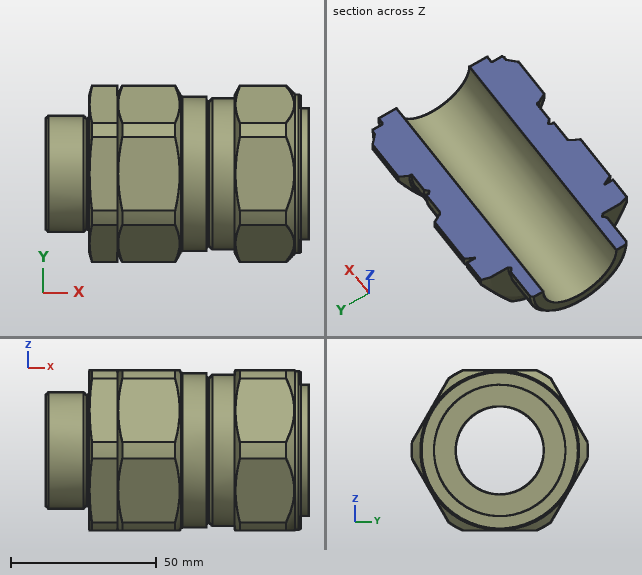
import cadquery as cq
import math


overall_length = 90.1
across_flats = 55.0
corner_radius = 60.5 / 2
across_corners = across_flats / math.cos(math.pi / 6)
bore_radius = 15.05

spigot_radius = 20.0
spigot_chamfer = 1.0
relief_depth = 1.1
relief_start = 12.9
relief_floor_width = 0.3
relief_radius = spigot_radius - relief_depth
relief_floor_start = relief_start + relief_depth
relief_floor_end = relief_floor_start + relief_floor_width

face_circle_radius = 26.85
lock_hex_start = 14.9
lock_hex_front_cone = 1.0
body_hex_start = 24.5
body_hex_front_cone = 1.7
body_hex_end = 46.3
body_hex_rear_cone = 2.0
body_hex_rear_radius = 26.7
cap_hex_start = 64.7
cap_hex_front_cone = 1.8
cap_hex_end = 85.4
cap_hex_rear_cone = 3.1

barrel_radius = 26.5
barrel_start = 46.85
barrel_end = 55.1
collar_radius = 25.95
groove_radius = 24.8
groove_floor_start = 55.7
groove_floor_end = 55.95
groove_front_slope = groove_floor_start - barrel_end
groove_rear_slope = collar_radius - groove_radius

rim_radius = 27.2
rim_end = 87.4
rim_chamfer_length = 0.8
rim_chamfer_depth = 0.45
seal_radius = 22.5


def turned(points):
    """Solid of revolution about X from (x, radius) points, closed along the axis."""
    first_x = points[0][0]
    last_x = points[-1][0]
    outline = [(first_x, 0)] + points + [(last_x, 0)]
    return cq.Workplane("XY").polyline(outline).close().revolve(360, (0, 0, 0), (1, 0, 0))


def hexagon(end_x, corner_points):
    """Hexagon with flats at +Z and -Z, its corners turned to the (x, radius) points."""
    start_x = corner_points[0][0]
    prism = cq.Workplane("YZ", origin=(start_x, 0, 0)).polygon(6, across_corners).extrude(end_x - start_x)
    return prism.intersect(turned(corner_points))


def spigot():
    return turned([
        (0, spigot_radius - spigot_chamfer),
        (spigot_chamfer, spigot_radius),
        (relief_start, spigot_radius),
        (relief_floor_start, relief_radius),
        (relief_floor_end, relief_radius),
        (lock_hex_start, relief_radius + lock_hex_start - relief_floor_end),
    ])


def lock_hexagon():
    return hexagon(body_hex_start, [
        (lock_hex_start, face_circle_radius),
        (lock_hex_start + lock_hex_front_cone, corner_radius),
        (body_hex_start, corner_radius),
    ])


def body_hexagon():
    return hexagon(body_hex_end, [
        (body_hex_start, face_circle_radius),
        (body_hex_start + body_hex_front_cone, corner_radius),
        (body_hex_end - body_hex_rear_cone, corner_radius),
        (body_hex_end, body_hex_rear_radius),
    ])


def barrel_and_collar():
    return turned([
        (body_hex_end, body_hex_rear_radius),
        (barrel_start, barrel_radius),
        (barrel_end, barrel_radius),
        (barrel_end, groove_radius + groove_front_slope),
        (groove_floor_start, groove_radius),
        (groove_floor_end, groove_radius),
        (groove_floor_end + groove_rear_slope, collar_radius),
        (cap_hex_start, collar_radius),
    ])


def cap_hexagon():
    return hexagon(cap_hex_end, [
        (cap_hex_start, face_circle_radius),
        (cap_hex_start + cap_hex_front_cone, corner_radius),
        (cap_hex_end - cap_hex_rear_cone, corner_radius),
        (cap_hex_end, rim_radius),
    ])


def rim_and_seal():
    return turned([
        (cap_hex_end, rim_radius),
        (rim_end - rim_chamfer_length, rim_radius),
        (rim_end, rim_radius - rim_chamfer_depth),
        (rim_end, seal_radius),
        (overall_length, seal_radius),
    ])


def bore():
    """Plain round passage through the whole gland."""
    return cq.Workplane("YZ").circle(bore_radius).extrude(overall_length)


result = (
    spigot()
    .union(lock_hexagon())
    .union(body_hexagon())
    .union(barrel_and_collar())
    .union(cap_hexagon())
    .union(rim_and_seal())
    .cut(bore())
)